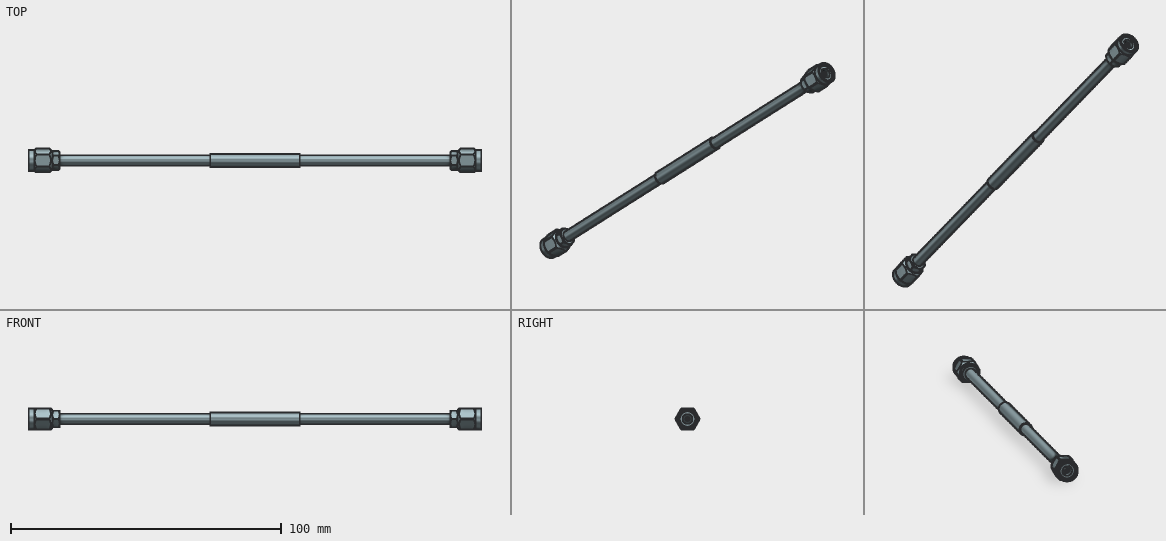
import cadquery as cq
import math

total_length = 167.4

nut_length = 8.7
nose_length = 2.2
nut_flats = 7.9
nose_diameter = nut_flats
nut_corner_diameter = 8.9
nut_front_chamfer = 0.7
nut_rear_chamfer = 1.0

ferrule_length = 2.8
ferrule_flats = 6.2
ferrule_corner_diameter = 7.0
ferrule_chamfer = 0.5

bore_diameter = 6.4
bore_depth = 4.0
bore_chamfer = 0.2
contact_setback = 0.5
shell_outer_diameter = 5.7
shell_inner_diameter = 3.7
pin_diameter = 1.5
pin_chamfer = 0.3

connector_length = nut_length + ferrule_length
cable_length = total_length - 2 * connector_length
cable_diameter = 4.0
sleeve_diameter = 4.9
sleeve_length = 33.1


def rod(x_start, length, diameter):
    """Round bar running from x_start towards +X."""
    return cq.Workplane("YZ", origin=(x_start, 0, 0)).circle(diameter / 2).extrude(length)


def turned_hexagon(x_start, length, flats, corner_diameter, front_chamfer, rear_chamfer):
    """Hexagonal bar with flats facing +Z and -Z, its corners turned round and its ends chamfered."""
    sharp_corner_diameter = flats / math.cos(math.pi / 6)
    hexagon = (
        cq.Workplane("YZ", origin=(x_start, 0, 0))
        .polygon(6, sharp_corner_diameter)
        .extrude(length)
    )
    envelope = (
        rod(x_start, length, corner_diameter)
        .faces("<X").chamfer(front_chamfer)
        .faces(">X").chamfer(rear_chamfer)
    )
    return hexagon.intersect(envelope)


def make_left_connector():
    """Connector at the -X end, with its mating face towards -X."""
    x_face = -total_length / 2

    nose = rod(x_face, nose_length, nose_diameter)
    nut = turned_hexagon(
        x_face + nose_length, nut_length - nose_length, nut_flats,
        nut_corner_diameter, nut_front_chamfer, nut_rear_chamfer,
    )
    ferrule = turned_hexagon(
        x_face + nut_length, ferrule_length, ferrule_flats,
        ferrule_corner_diameter, ferrule_chamfer, ferrule_chamfer,
    )
    body = nose.union(nut).union(ferrule)

    body = body.cut(rod(x_face, bore_depth, bore_diameter))
    bore_mouth = cq.selectors.RadiusNthSelector(0)
    body = body.faces("<X").edges(bore_mouth).chamfer(bore_chamfer)

    x_contact = x_face + contact_setback
    contact_length = bore_depth - contact_setback
    shell = rod(x_contact, contact_length, shell_outer_diameter)
    shell = shell.cut(rod(x_contact, contact_length, shell_inner_diameter))
    pin = rod(x_contact, contact_length, pin_diameter).faces("<X").chamfer(pin_chamfer)
    return body.union(shell).union(pin)


def make_connectors():
    """The left connector and its copy turned half a turn about Z, as separate solids."""
    left_connector = make_left_connector()
    return [left_connector.rotate((0, 0, 0), (0, 0, 1), turn) for turn in (0, 180)]


def make_cable():
    """Round cable spanning from one ferrule to the other."""
    return rod(-cable_length / 2, cable_length, cable_diameter)


def make_sleeve():
    """Tube that fits closely around the middle of the cable."""
    x_start = -sleeve_length / 2
    return rod(x_start, sleeve_length, sleeve_diameter).cut(rod(x_start, sleeve_length, cable_diameter))


cable = make_cable()
sleeve = make_sleeve()
connectors = make_connectors()

result = cq.Compound.makeCompound(
    [cable.val(), sleeve.solids().val(), *[connector.solids().val() for connector in connectors]]
)